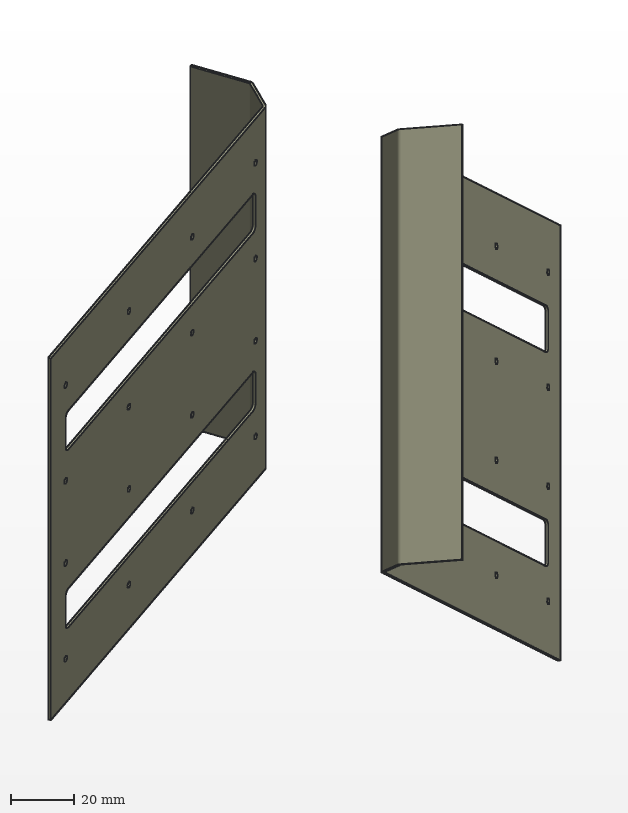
import cadquery as cq
import math

WIDTH = 31.2
LENGTH = 163.2
HEIGHT = 140.0

THICKNESS = 1.0
BEND_INNER_RADIUS = 1.0
BEND_ANGLE = 45.0
FLANGE_FLAT = 20.5

HOLE_DIAMETER = 2.0
HOLE_COLUMNS = 4
COLUMN_PITCH = 45.0
FIRST_COLUMN = 10.6
ROW_PAIR_OFFSET = 34.5
ROW_PAIR_SPACING = 37.0

WINDOW_LENGTH = (HOLE_COLUMNS - 1) * COLUMN_PITCH
WINDOW_HEIGHT = 15.0
WINDOW_CORNER_RADIUS = 2.0

PATTERN_MIDDLE = FIRST_COLUMN + WINDOW_LENGTH / 2
PAIR_HEIGHTS = [HEIGHT / 2 - ROW_PAIR_OFFSET, HEIGHT / 2 + ROW_PAIR_OFFSET]


def folded_sheet():
    """Flange, sloping strip and wall, as a constant section along Z."""
    fold_span = WIDTH - FLANGE_FLAT
    wall_flat = LENGTH - fold_span
    outer_radius = BEND_INNER_RADIUS + THICKNESS
    flange_centre = (FLANGE_FLAT, LENGTH - outer_radius)
    wall_centre = (WIDTH - outer_radius, wall_flat)

    def bend_point(centre, radius, angle):
        turn = math.radians(angle)
        return (centre[0] + radius * math.cos(turn), centre[1] + radius * math.sin(turn))

    def bend_arc(sketch, centre, radius, start, end):
        middle = bend_point(centre, radius, (start + end) / 2)
        return sketch.threePointArc(middle, bend_point(centre, radius, end))

    outline = cq.Workplane("XY").moveTo(0, LENGTH).lineTo(FLANGE_FLAT, LENGTH)
    outline = bend_arc(outline, flange_centre, outer_radius, 90, BEND_ANGLE)
    outline = outline.lineTo(*bend_point(wall_centre, outer_radius, BEND_ANGLE))
    outline = bend_arc(outline, wall_centre, outer_radius, BEND_ANGLE, 0)
    outline = outline.lineTo(WIDTH, 0).lineTo(WIDTH - THICKNESS, 0)
    outline = outline.lineTo(WIDTH - THICKNESS, wall_flat)
    outline = bend_arc(outline, wall_centre, BEND_INNER_RADIUS, 0, BEND_ANGLE)
    outline = outline.lineTo(*bend_point(flange_centre, BEND_INNER_RADIUS, BEND_ANGLE))
    outline = bend_arc(outline, flange_centre, BEND_INNER_RADIUS, BEND_ANGLE, 90)
    outline = outline.lineTo(0, LENGTH - THICKNESS).close()
    return outline.extrude(HEIGHT)


def wall_plane():
    """YZ sketch plane on the inner face of the wall, facing through the sheet."""
    return cq.Workplane("YZ", origin=(WIDTH - THICKNESS, 0, 0))


def window_cutters():
    centres = [(PATTERN_MIDDLE, height) for height in PAIR_HEIGHTS]
    blocks = wall_plane().pushPoints(centres).rect(WINDOW_LENGTH, WINDOW_HEIGHT).extrude(THICKNESS)
    return blocks.edges("|X").fillet(WINDOW_CORNER_RADIUS)


def hole_cutters():
    centres = [
        (FIRST_COLUMN + column * COLUMN_PITCH, height + side * ROW_PAIR_SPACING / 2)
        for column in range(HOLE_COLUMNS)
        for height in PAIR_HEIGHTS
        for side in (-1, 1)
    ]
    return wall_plane().pushPoints(centres).circle(HOLE_DIAMETER / 2).extrude(THICKNESS)


result = folded_sheet().cut(window_cutters()).cut(hole_cutters())